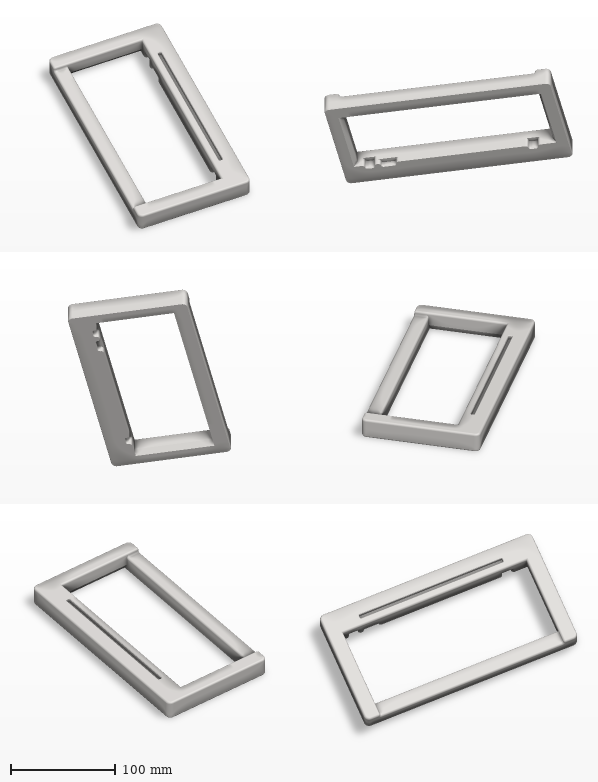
import cadquery as cq

LENGTH = 221.5
WIDTH = 117.2
HEIGHT = 19.0
CORNER_RADIUS = 5.0
EDGE_RADIUS = 2.04
BOTTOM_CHAMFER_HEIGHT = 1.0
BOTTOM_CHAMFER_INSET = 0.55

SIDE_RAIL = 15.0
REAR_RAIL = 25.0
FRONT_RAIL = 14.8
FRONT_STEP = 2 * EDGE_RADIUS

window_half = LENGTH / 2 - SIDE_RAIL
window_rear = WIDTH / 2 - REAR_RAIL
window_front = FRONT_RAIL - WIDTH / 2
step_top = HEIGHT - FRONT_STEP

GROOVE_LENGTH = 149.5
GROOVE_WIDTH = 4.0
GROOVE_CORNER_RADIUS = 1.0
GROOVE_DEPTH = 4.5
GROOVE_Y = 42.5
GROOVE_CHAMFER = 0.55

BEVEL_HEIGHT = 5.8
BEVEL_WIDTH = 3.3

RELIEF_END_RADIUS = 2.7
TALL_RELIEF_HEIGHT = 9.5
LOW_RELIEF_HEIGHT = 5.8
TALL_RELIEF_LENGTH = 14.8
RIGHT_RELIEF_X = 68.5
LEFT_RELIEF_X = -91.5
LOW_RELIEF_X = -75.8
LOW_RELIEF_LENGTH = 20.4
RELIEFS = [
    (RIGHT_RELIEF_X, RIGHT_RELIEF_X + TALL_RELIEF_LENGTH, TALL_RELIEF_HEIGHT),
    (LEFT_RELIEF_X, LEFT_RELIEF_X + TALL_RELIEF_LENGTH, TALL_RELIEF_HEIGHT),
    (LOW_RELIEF_X, LOW_RELIEF_X + LOW_RELIEF_LENGTH, LOW_RELIEF_HEIGHT),
]

TOLERANCE = 0.2


def block(x_range, y_range, z_range):
    """Box spanning the given coordinate ranges."""
    corner = (x_range[0], y_range[0], z_range[0])
    size = [high - low for low, high in (x_range, y_range, z_range)]
    return cq.Workplane("XY").box(*size, centered=False).translate(corner)


def opening():
    """Window well and front step, with a rounding at the rails and a hollow above the front rail."""
    r = EDGE_RADIUS
    across = (
        cq.Workplane("XZ", origin=(0, WIDTH, 0))
        .moveTo(0, step_top)
        .lineTo(window_half - r, step_top)
        .radiusArc((window_half, step_top + r), -r)
        .radiusArc((window_half + r, HEIGHT), r)
        .lineTo(0, HEIGHT)
        .close()
        .extrude(2 * WIDTH)
    )
    across = across.union(across.mirror("YZ"))
    along = (
        cq.Workplane("YZ", origin=(-LENGTH, 0, 0))
        .moveTo(-WIDTH, step_top)
        .lineTo(window_rear, step_top)
        .lineTo(window_rear, HEIGHT - r)
        .radiusArc((window_rear + r, HEIGHT), r)
        .lineTo(-WIDTH, HEIGHT)
        .close()
        .extrude(2 * LENGTH)
    )
    return across.intersect(along)


def edges_on_step(y):
    """Selector for the edges that run along the floor of the front step at the given y."""
    low = (-window_half, y - TOLERANCE, step_top - TOLERANCE)
    high = (window_half, y + TOLERANCE, step_top + TOLERANCE)
    return cq.selectors.BoxSelector(low, high)


def frame():
    """Rounded frame whose front rail is stepped down between the side rails."""
    plate = cq.Workplane("XY").box(LENGTH, WIDTH, HEIGHT, centered=(True, True, False))
    plate = plate.edges("|Z").fillet(CORNER_RADIUS)
    plate = plate.faces("<Z").chamfer(BOTTOM_CHAMFER_HEIGHT, BOTTOM_CHAMFER_INSET)
    plate = plate.cut(opening())
    plate = plate.edges(edges_on_step(-WIDTH / 2)).fillet(EDGE_RADIUS)

    rail_reach = window_half + 2 * EDGE_RADIUS
    rail_space = block((-rail_reach, rail_reach), (-WIDTH / 2, window_front), (0, HEIGHT))
    front_rail = plate.intersect(rail_space)
    front_rail = front_rail.edges(edges_on_step(window_front)).fillet(EDGE_RADIUS)

    gap = block((-window_half, window_half), (-WIDTH / 2, window_rear), (0, HEIGHT))
    return plate.cut(gap).union(front_rail)


def groove():
    """Blind groove with rounded corners and a chamfered mouth."""
    channel = (
        cq.Workplane("XY", origin=(0, GROOVE_Y, HEIGHT - GROOVE_DEPTH))
        .rect(GROOVE_LENGTH, GROOVE_WIDTH)
        .extrude(GROOVE_DEPTH)
        .edges("|Z")
        .fillet(GROOVE_CORNER_RADIUS)
    )
    mouth_corner = GROOVE_CORNER_RADIUS + GROOVE_CHAMFER
    mouth_sketch = cq.Sketch().rect(
        GROOVE_LENGTH + 2 * GROOVE_CHAMFER, GROOVE_WIDTH + 2 * GROOVE_CHAMFER
    )
    mouth = (
        cq.Workplane("XY", origin=(0, GROOVE_Y, HEIGHT))
        .placeSketch(mouth_sketch.vertices().fillet(mouth_corner))
        .extrude(-GROOVE_CHAMFER, taper=45)
    )
    return channel.union(mouth)


def side_bevels():
    """Wedges that slope the lower inner edge of both side rails outward."""
    wedge = (
        cq.Workplane("XZ", origin=(0, window_rear, 0))
        .moveTo(window_half, 0)
        .lineTo(window_half + BEVEL_WIDTH, 0)
        .lineTo(window_half, BEVEL_HEIGHT)
        .close()
        .extrude(window_rear - window_front)
    )
    return wedge.union(wedge.mirror("YZ"))


def relief(x_start, x_end, height):
    """Pocket under the rear rail whose ends swing in and out again as two quarter arcs."""
    r = RELIEF_END_RADIUS
    back = window_rear + 2 * r
    return (
        cq.Workplane("XY")
        .moveTo(x_start, window_rear)
        .radiusArc((x_start + r, window_rear + r), -r)
        .radiusArc((x_start + 2 * r, back), r)
        .lineTo(x_end - 2 * r, back)
        .radiusArc((x_end - r, window_rear + r), r)
        .radiusArc((x_end, window_rear), -r)
        .close()
        .extrude(height)
    )


result = frame().cut(groove()).cut(side_bevels())
for x_start, x_end, height in RELIEFS:
    result = result.cut(relief(x_start, x_end, height))